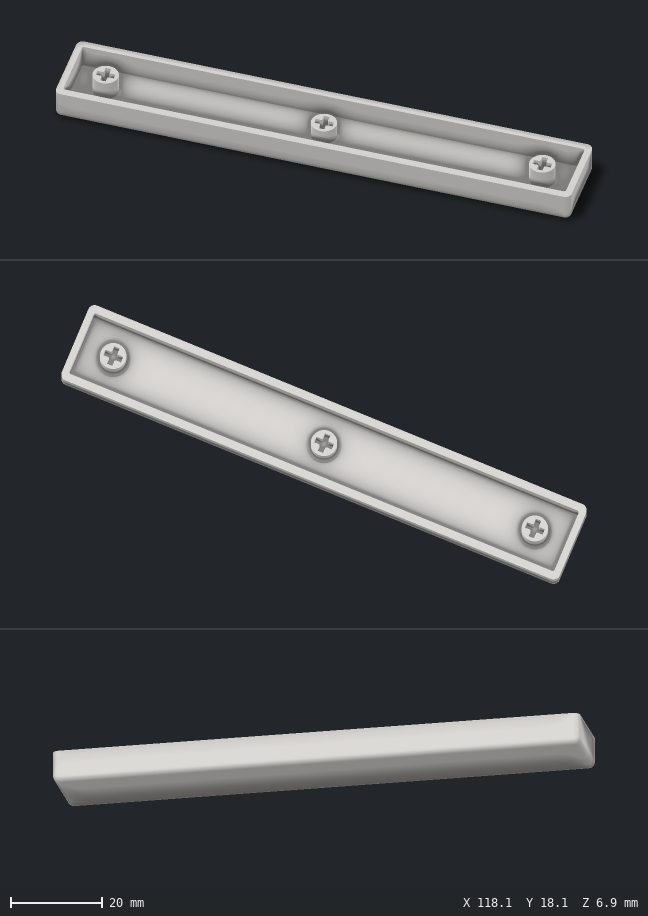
import cadquery as cq

length = 118.06
width = 18.05
height = 6.9
edge_radius = 1.5

end_wall = 1.5
side_wall = 1.75
floor_thickness = 1.5
cavity_length = length - 2 * end_wall
cavity_width = width - 2 * side_wall
cavity_depth = height - floor_thickness
cavity_corner_radius = 0.5

stem_spacing = 50.0
stem_diameter = 5.8
end_stem_height = cavity_depth
middle_stem_recess = 1.0
middle_stem_height = cavity_depth - middle_stem_recess
stem_base_flare = 0.8

cross_span = 4.2
cross_arm_width = 1.3
cross_corner_radius = 0.3
cross_depth = 4.0


def make_tray():
    body = cq.Workplane("XY").box(length, width, height, centered=(True, True, False))
    body = body.edges("|Z").fillet(edge_radius).faces("<Z").edges().fillet(edge_radius)
    cavity = (
        cq.Workplane("XY")
        .workplane(offset=floor_thickness)
        .rect(cavity_length, cavity_width)
        .extrude(cavity_depth)
        .edges("|Z")
        .fillet(cavity_corner_radius)
    )
    return body.cut(cavity)


def make_cross(stem_height):
    """Cross-shaped cutter whose top is level with the stem top."""
    base = cq.Workplane("XY").workplane(offset=stem_height - cross_depth)
    arm_along_x = base.rect(cross_span, cross_arm_width).extrude(cross_depth)
    arm_along_y = base.rect(cross_arm_width, cross_span).extrude(cross_depth)
    corner_reach = (cross_arm_width + cross_span) / 4
    inner_corners = cq.selectors.BoxSelector(
        (-corner_reach, -corner_reach, 0),
        (corner_reach, corner_reach, stem_height),
    )
    return arm_along_x.union(arm_along_y).edges("|Z").edges(inner_corners).fillet(cross_corner_radius)


def make_stem(stem_height):
    """Stem on the Z axis, flared at its foot, with the cross socket cut in its top."""
    radius = stem_diameter / 2
    profile = (
        cq.Workplane("XZ")
        .lineTo(radius + stem_base_flare, 0)
        .lineTo(radius, stem_base_flare)
        .lineTo(radius, stem_height)
        .lineTo(0, stem_height)
        .close()
    )
    stem = profile.revolve(360, (0, 0, 0), (0, 1, 0))
    return stem.cut(make_cross(stem_height))


result = make_tray()

for stem_x, stem_height in (
    (-stem_spacing, end_stem_height),
    (0, middle_stem_height),
    (stem_spacing, end_stem_height),
):
    stem = make_stem(stem_height).translate((stem_x, 0, floor_thickness))
    result = result.union(stem)